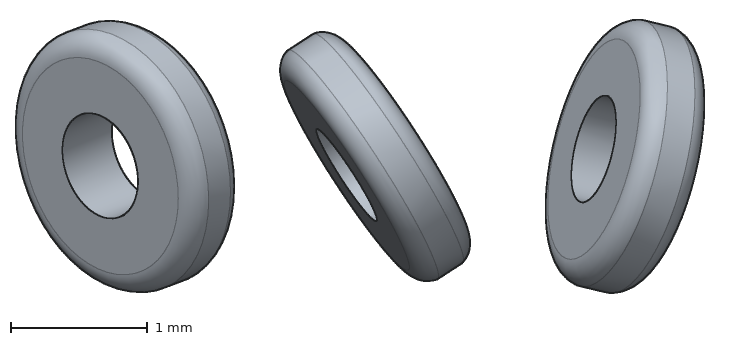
import cadquery as cq
import math

outer_diameter = 2.0
thickness = 0.5
bore_diameter = 0.8
face_diameter = 1.65
band_width = 0.22

outer_radius = outer_diameter / 2
bore_radius = bore_diameter / 2
face_radius = face_diameter / 2
half_thickness = thickness / 2
half_band = band_width / 2

rim_width = outer_radius - face_radius
rim_depth = half_thickness - half_band
rim_arc_radius = (rim_width**2 + rim_depth**2) / (2 * rim_depth)
half_sweep = math.atan2(rim_depth, rim_width)
arc_mid_radius = face_radius + rim_arc_radius * math.sin(half_sweep)
arc_mid_axial = half_thickness - rim_arc_radius * (1 - math.cos(half_sweep))

section = (
    cq.Workplane("XY")
    .moveTo(bore_radius, -half_thickness)
    .lineTo(face_radius, -half_thickness)
    .threePointArc((arc_mid_radius, -arc_mid_axial), (outer_radius, -half_band))
    .lineTo(outer_radius, half_band)
    .threePointArc((arc_mid_radius, arc_mid_axial), (face_radius, half_thickness))
    .lineTo(bore_radius, half_thickness)
    .close()
)

result = section.revolve(360, (0, 0, 0), (0, 1, 0))